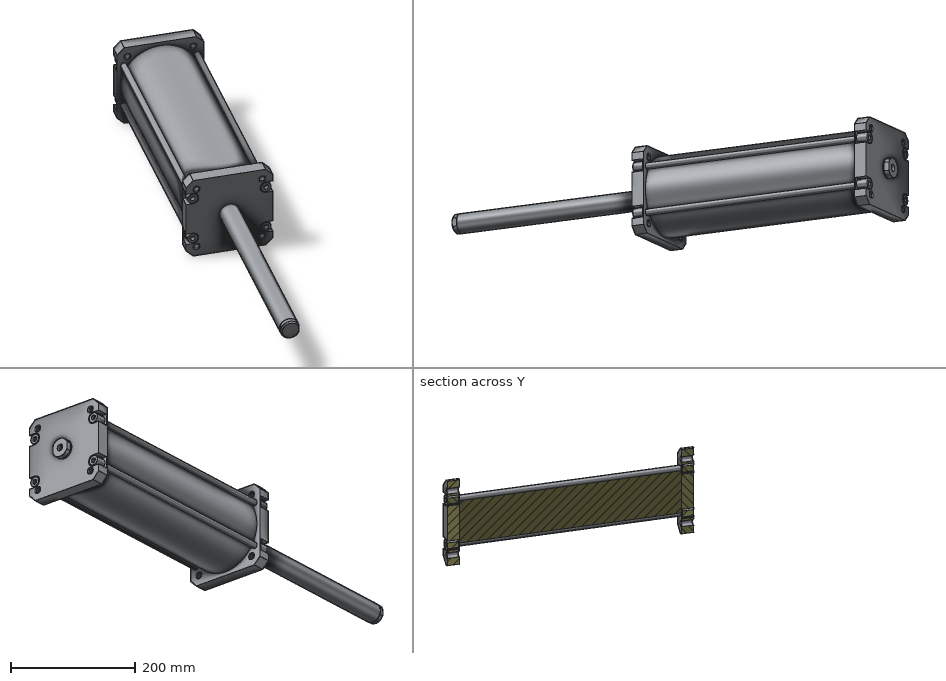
import cadquery as cq
import math

total_length = 798.0
rear_plate_start = 10.0
plate_thickness = 21.5
barrel_length = 385.0
rear_plate_end = rear_plate_start + plate_thickness
front_plate_start = rear_plate_end + barrel_length

plate_size = 145.0
corner_chamfer = 12.0
mount_hole_offset = 55.0
mount_hole_diameter = 9.0
mount_hole_chamfer = 1.5

barrel_diameter = 132.5

rod_diameter = 33.0
rear_flat_length = 9.0
front_flat_length = 9.5
end_diameter = 32.0
flat_width = 29.0
tip_chamfer = 2.0
port_diameter = 11.0
port_depth = 16.0
port_tip_angle = 118.0

tie_offset_y = 61.5
tie_offset_z = 38.0
tie_diameter = 10.0
head_diameter = 17.0
head_height = 19.0
socket_diameter = 8.0
socket_depth = 9.5
notch_width = 20.0


def x_cylinder(diameter, x_start, length, y=0.0, z=0.0):
    """Round bar parallel to X."""
    return (
        cq.Workplane("YZ", origin=(x_start, y, z))
        .circle(diameter / 2)
        .extrude(length)
    )


def tie_positions():
    """The four (y, z) axes of the tie rods."""
    return [(sy * tie_offset_y, sz * tie_offset_z) for sy in (-1, 1) for sz in (-1, 1)]


def make_notch(x_start, y, z):
    """Round-bottomed recess for a tie rod head, open to the nearest Y side of the plate."""
    pocket = x_cylinder(notch_width, x_start, head_height, y, z)
    slot_center_y = math.copysign(abs(y) + plate_size / 4, y)
    slot = cq.Workplane("XY").box(head_height, plate_size / 2, notch_width).translate(
        (x_start + head_height / 2, slot_center_y, z)
    )
    return pocket.union(slot)


def make_plate(x_start, notch_start):
    """Square end plate with chamfered corners, bevelled mounting holes and tie rod seats."""
    plate = (
        cq.Workplane("YZ", origin=(x_start, 0, 0))
        .rect(plate_size, plate_size)
        .extrude(plate_thickness)
        .edges("|X")
        .chamfer(corner_chamfer)
        .faces("<X")
        .workplane(origin=(x_start, 0, 0))
        .rect(2 * mount_hole_offset, 2 * mount_hole_offset, forConstruction=True)
        .vertices()
        .hole(mount_hole_diameter)
        .edges("%CIRCLE")
        .chamfer(mount_hole_chamfer)
        .cut(x_cylinder(rod_diameter, x_start, plate_thickness))
    )
    for y, z in tie_positions():
        plate = plate.cut(make_notch(notch_start, y, z))
        plate = plate.cut(x_cylinder(tie_diameter, x_start, plate_thickness, y, z))
    return plate


def make_barrel():
    """Cylinder body clamped between the plates, bored for the rod."""
    barrel = x_cylinder(barrel_diameter, rear_plate_end, barrel_length)
    return barrel.cut(x_cylinder(rod_diameter, rear_plate_end, barrel_length))


def make_rod_end(x_start, length):
    """Slightly reduced rod end with two wrench flats facing +Y and -Y."""
    slab = cq.Workplane("XY").box(length, flat_width, end_diameter).translate((x_start + length / 2, 0, 0))
    return x_cylinder(end_diameter, x_start, length).intersect(slab)


def make_port():
    """Drilled hole with a conical bottom, entering from the rear end of the rod."""
    radius = port_diameter / 2
    cone_height = radius / math.tan(math.radians(port_tip_angle / 2))
    return (
        cq.Workplane("XY")
        .polyline([(0, 0), (0, radius), (port_depth, radius), (port_depth + cone_height, 0)])
        .close()
        .revolve(360, (0, 0, 0), (1, 0, 0))
    )


def make_rod():
    """Through rod with wrench flats at both ends, a chamfered tip and a rear port."""
    front_flat_start = total_length - front_flat_length
    round_length = front_flat_start - rear_flat_length
    tip = x_cylinder(end_diameter, front_flat_start, front_flat_length).faces(">X").chamfer(tip_chamfer)
    return (
        x_cylinder(rod_diameter, rear_flat_length, round_length)
        .union(make_rod_end(0, rear_flat_length))
        .union(make_rod_end(front_flat_start, front_flat_length).intersect(tip))
        .cut(make_port())
    )


def make_tie_rod(y, z):
    """Tie rod with a socketed round head flush with the outer face of each plate."""
    length = 2 * plate_thickness + barrel_length
    end = rear_plate_start + length
    return (
        x_cylinder(tie_diameter, rear_plate_start, length, y, z)
        .union(x_cylinder(head_diameter, rear_plate_start, head_height, y, z))
        .union(x_cylinder(head_diameter, end - head_height, head_height, y, z))
        .cut(x_cylinder(socket_diameter, rear_plate_start, socket_depth, y, z))
        .cut(x_cylinder(socket_diameter, end - socket_depth, socket_depth, y, z))
    )


rear_plate = make_plate(rear_plate_start, rear_plate_start)
front_plate = make_plate(front_plate_start, front_plate_start + plate_thickness - head_height)
barrel = make_barrel()
rod = make_rod()
tie_rods = [make_tie_rod(y, z) for y, z in tie_positions()]

result = cq.Compound.makeCompound([
    rear_plate.val(),
    front_plate.val(),
    barrel.val(),
    rod.val(),
    *[tie_rod.val() for tie_rod in tie_rods],
])